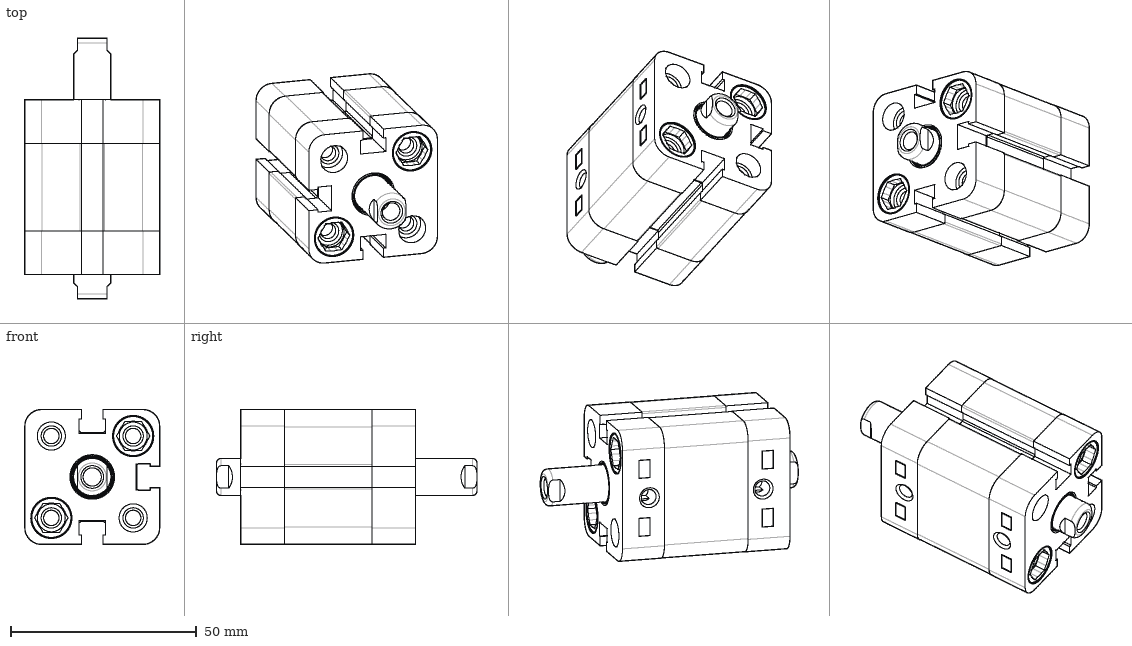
import cadquery as cq
import math


TOTAL_LENGTH = 70.1
BODY_LENGTH = 47.05
FRONT_STICK_OUT = 6.5
CAP_LENGTH = 11.8
ROD_FRONT_Y = -TOTAL_LENGTH / 2
BODY_FRONT_Y = ROD_FRONT_Y + FRONT_STICK_OUT
BODY_MID_Y = BODY_FRONT_Y + BODY_LENGTH / 2
BARREL_LENGTH = BODY_LENGTH - 2 * CAP_LENGTH

BODY_SIDE = 36.3
CAP_CORNER_RADIUS = 4.5
BARREL_CORNER_RADIUS = 4.7

SLOT_NECK_WIDTH = 5.75
SLOT_HEAD_WIDTH = 7.1
SLOT_NECK_DEPTH = 2.6
CAP_SLOT_DEPTH = 6.45
BARREL_SLOT_DEPTH = 6.2
BARREL_SLOT_CHAMFER = 0.4
BARREL_MOUTH_RADIUS = 0.4
SLOT_ANGLES = (-90, 0, 90)

BORE_OFFSET = 11.0
THREAD_DIAMETER = 4.15
THREAD_MOUTH_DIAMETER = 5.5
THREAD_DEPTH = 3.5
PLAIN_DIAMETER = 7.6
PLAIN_DEPTH = 4.5
HEAD_RECESS_DEPTH = 0.2
HEAD_GROOVE_OUTER = 11.1
HEAD_GROOVE_INNER = 10.5
HEAD_GROOVE_DEPTH = 0.35
HEX_FLATS = 7.8
HEX_DEPTH = 2.9
RELIEF_DIAMETER = 8.0
SOCKET_DIAMETER = 7.5
SOCKET_DEPTH = 4.35

PORT_FROM_FACE = 7.6
PORT_DIAMETER = 4.15
PORT_MOUTH_DIAMETER = 5.55
PORT_DEPTH = 5.0
CHANNEL_HEIGHT = 3.1

LABEL_FROM_FACE = 6.25
LABEL_OFFSET = 8.05
LABEL_WIDTH = 3.1
LABEL_HEIGHT = 5.0
LABEL_DEPTH = 0.2

LIP_GROOVE_OUTER = 12.0
LIP_GROOVE_INNER = 11.1
LIP_GROOVE_BOTTOM = 11.4
LIP_GROOVE_DEPTH = 0.55
OPENING_DIAMETER = 10.5
OPENING_DEPTH = 1.05

SLEEVE_DIAMETER = 20.0
SLEEVE_FROM_FACE = 5.0

ROD_DIAMETER = 10.0
ROD_TIP_RADIUS = 1.25
FLAT_WIDTH = 8.0
FLAT_LENGTH = 3.3
ROD_THREAD_DIAMETER = 4.9
ROD_THREAD_MOUTH_DIAMETER = 6.1
ROD_THREAD_DEPTH = 10.0


def plane_at(y, x=0.0, z=0.0):
    """Workplane facing -Y, so a negative extrusion runs toward +Y."""
    return cq.Workplane("XZ", origin=(x, y, z))


def cylinder(diameter, y, length, x=0.0, z=0.0):
    """Round bar along Y that starts at y and runs toward +Y."""
    return plane_at(y, x, z).circle(diameter / 2).extrude(-length)


def cone(diameter, end_diameter, y, length, x=0.0, z=0.0):
    """Cone frustum along Y whose diameter changes from y toward +Y."""
    solid = cq.Solid.makeCone(
        diameter / 2, end_diameter / 2, length, cq.Vector(x, y, z), cq.Vector(0, 1, 0)
    )
    return cq.Workplane(solid)


def threaded_hole(diameter, mouth_diameter, depth, y, x=0.0, z=0.0):
    """Blind hole toward +Y with a 45 degree countersink."""
    hole = cylinder(diameter, y, depth, x, z)
    return hole.union(cone(mouth_diameter, diameter, y, (mouth_diameter - diameter) / 2, x, z))


def ring_groove(outer_diameter, bottom_diameter, inner_diameter, y, depth, x=0.0, z=0.0):
    """V-shaped ring groove that starts at y and runs toward +Y."""
    outside = cone(outer_diameter, bottom_diameter, y, depth, x, z)
    return outside.cut(cone(inner_diameter, bottom_diameter, y, depth, x, z))


def square_bar(corner_radius, y, length):
    bar = plane_at(y).rect(BODY_SIDE, BODY_SIDE).extrude(-length)
    return bar.edges("|Y").fillet(corner_radius)


def slot_cutter(depth, y, length):
    """T-shaped bar that cuts the slot in the +X side."""
    outside = BODY_SIDE / 2
    step = outside - SLOT_NECK_DEPTH
    floor = outside - depth
    neck = SLOT_NECK_WIDTH / 2
    head = SLOT_HEAD_WIDTH / 2
    outline = [
        (outside, -neck), (step, -neck), (step, -head), (floor, -head),
        (floor, head), (step, head), (step, neck), (outside, neck),
    ]
    return plane_at(y).polyline(outline).close().extrude(-length)


def cut_slots(body, cutter):
    for angle in SLOT_ANGLES:
        body = body.cut(cutter.rotate((0, 0, 0), (0, 1, 0), angle))
    return body


def plain_bore(x, z):
    floor_y = BODY_FRONT_Y + PLAIN_DEPTH
    bore = cylinder(PLAIN_DIAMETER, BODY_FRONT_Y, PLAIN_DEPTH, x, z)
    return bore.union(
        threaded_hole(THREAD_DIAMETER, THREAD_MOUTH_DIAMETER, THREAD_DEPTH, floor_y, x, z)
    )


def socket_bore(x, z):
    """Hexagon socket, a narrower round bore behind it and a threaded hole."""
    face_y = BODY_FRONT_Y + HEAD_RECESS_DEPTH
    floor_y = face_y + SOCKET_DEPTH
    hex_corners = HEX_FLATS / math.cos(math.pi / 6)
    bore = plane_at(face_y, x, z).polygon(6, hex_corners).extrude(-HEX_DEPTH)
    bore = bore.union(cylinder(RELIEF_DIAMETER, face_y, HEX_DEPTH, x, z))
    bore = bore.union(cylinder(SOCKET_DIAMETER, face_y, SOCKET_DEPTH, x, z))
    return bore.union(
        threaded_hole(THREAD_DIAMETER, THREAD_MOUTH_DIAMETER, THREAD_DEPTH, floor_y, x, z)
    )


def head_recess(x, z):
    """Shallow round recess with a V-groove around its floor."""
    floor_y = BODY_FRONT_Y + HEAD_RECESS_DEPTH
    groove_bottom = (HEAD_GROOVE_OUTER + HEAD_GROOVE_INNER) / 2
    recess = cylinder(HEAD_GROOVE_OUTER, BODY_FRONT_Y, HEAD_RECESS_DEPTH, x, z)
    return recess.union(
        ring_groove(
            HEAD_GROOVE_OUTER, groove_bottom, HEAD_GROOVE_INNER, floor_y, HEAD_GROOVE_DEPTH, x, z
        )
    )


def rod_opening():
    opening = cylinder(ROD_DIAMETER, BODY_FRONT_Y, CAP_LENGTH)
    return opening.union(cylinder(OPENING_DIAMETER, BODY_FRONT_Y, OPENING_DEPTH))


def lip_groove():
    return ring_groove(
        LIP_GROOVE_OUTER, LIP_GROOVE_BOTTOM, LIP_GROOVE_INNER, BODY_FRONT_Y, LIP_GROOVE_DEPTH
    )


def port():
    """Countersunk round port with a flat channel that reaches the sleeve."""
    side_x = -BODY_SIDE / 2
    port_y = BODY_FRONT_Y + PORT_FROM_FACE
    side_plane = cq.Workplane("YZ", origin=(side_x, port_y, 0))
    hole = side_plane.circle(PORT_DIAMETER / 2).extrude(PORT_DEPTH)
    countersink = cq.Solid.makeCone(
        PORT_MOUTH_DIAMETER / 2, PORT_DIAMETER / 2, (PORT_MOUTH_DIAMETER - PORT_DIAMETER) / 2,
        cq.Vector(side_x, port_y, 0), cq.Vector(1, 0, 0),
    )
    channel_length = BODY_SIDE / 2
    channel = side_plane.rect(PORT_DIAMETER, CHANNEL_HEIGHT).extrude(channel_length)
    channel = channel.intersect(side_plane.circle(PORT_DIAMETER / 2).extrude(channel_length))
    channel = channel.cut(cylinder(SLEEVE_DIAMETER, BODY_FRONT_Y, CAP_LENGTH))
    return hole.union(cq.Workplane(countersink)).union(channel)


def label_recesses():
    plane = cq.Workplane("YZ", origin=(-BODY_SIDE / 2, BODY_FRONT_Y + LABEL_FROM_FACE, 0))
    centres = [(0, LABEL_OFFSET), (0, -LABEL_OFFSET)]
    return plane.pushPoints(centres).rect(LABEL_WIDTH, LABEL_HEIGHT).extrude(LABEL_DEPTH)


def make_front_cap():
    cap = square_bar(CAP_CORNER_RADIUS, BODY_FRONT_Y, CAP_LENGTH)
    cap = cut_slots(cap, slot_cutter(CAP_SLOT_DEPTH, BODY_FRONT_Y, CAP_LENGTH))
    for side in (1, -1):
        cap = cap.cut(socket_bore(side * BORE_OFFSET, side * BORE_OFFSET))
        cap = cap.cut(head_recess(side * BORE_OFFSET, side * BORE_OFFSET))
        cap = cap.cut(plain_bore(side * BORE_OFFSET, -side * BORE_OFFSET))
    cap = cap.cut(rod_opening()).cut(lip_groove())
    cap = cap.cut(cylinder(SLEEVE_DIAMETER, BODY_FRONT_Y + SLEEVE_FROM_FACE, CAP_LENGTH))
    return cap.cut(port()).cut(label_recesses())


def make_rear_cap():
    """Same cap as the front one, turned half a turn about X."""
    return make_front_cap().rotate((0, BODY_MID_Y, 0), (1, BODY_MID_Y, 0), 180)


def make_barrel():
    y = BODY_FRONT_Y + CAP_LENGTH
    cutter = slot_cutter(BARREL_SLOT_DEPTH, y, BARREL_LENGTH)
    cutter = cutter.edges("|Y and <X").chamfer(BARREL_SLOT_CHAMFER)
    barrel = square_bar(BARREL_CORNER_RADIUS, y, BARREL_LENGTH)
    barrel = cut_slots(barrel, cutter)
    half_side = BODY_SIDE / 2
    half_neck = SLOT_NECK_WIDTH / 2
    mouth_points = [(half_side, half_neck), (half_side, -half_neck)]
    for side_z in (half_side, -half_side):
        mouth_points += [(half_neck, side_z), (-half_neck, side_z)]
    for x, z in mouth_points:
        edge = cq.selectors.NearestToPointSelector((x, BODY_MID_Y, z))
        barrel = barrel.edges("|Y").edges(edge).fillet(BARREL_MOUTH_RADIUS)
    return barrel.cut(cylinder(SLEEVE_DIAMETER, y, BARREL_LENGTH))


def make_sleeve():
    """Inner sleeve around the rod, visible through the ports."""
    y = BODY_FRONT_Y + SLEEVE_FROM_FACE
    length = BODY_LENGTH - 2 * SLEEVE_FROM_FACE
    return cylinder(SLEEVE_DIAMETER, y, length).cut(cylinder(ROD_DIAMETER, y, length))


def flat_cutter():
    """Cuts the +X wrench flat of the front rod end, with a 45 degree run-out."""
    flat_x = FLAT_WIDTH / 2
    rim_x = ROD_DIAMETER / 2
    flat_end_y = ROD_FRONT_Y + FLAT_LENGTH
    outline = [
        (flat_x, ROD_FRONT_Y), (flat_x, flat_end_y),
        (rim_x, flat_end_y + rim_x - flat_x), (rim_x, ROD_FRONT_Y),
    ]
    profile = cq.Workplane("XY").polyline(outline).close()
    return profile.extrude(ROD_DIAMETER / 2, both=True)


def make_rod():
    rod = cylinder(ROD_DIAMETER, ROD_FRONT_Y, TOTAL_LENGTH)
    rod = rod.faces("<Y or >Y").edges().fillet(ROD_TIP_RADIUS)
    flat = flat_cutter()
    end_cuts = flat.union(flat.mirror("YZ")).union(
        threaded_hole(ROD_THREAD_DIAMETER, ROD_THREAD_MOUTH_DIAMETER, ROD_THREAD_DEPTH, ROD_FRONT_Y)
    )
    return rod.cut(end_cuts).cut(end_cuts.mirror("XZ"))


front_cap = make_front_cap()
rear_cap = make_rear_cap()
barrel = make_barrel()
sleeve = make_sleeve()
rod = make_rod()

result = cq.Compound.makeCompound(
    [body.solids().val() for body in (front_cap, rear_cap, barrel, sleeve, rod)]
)